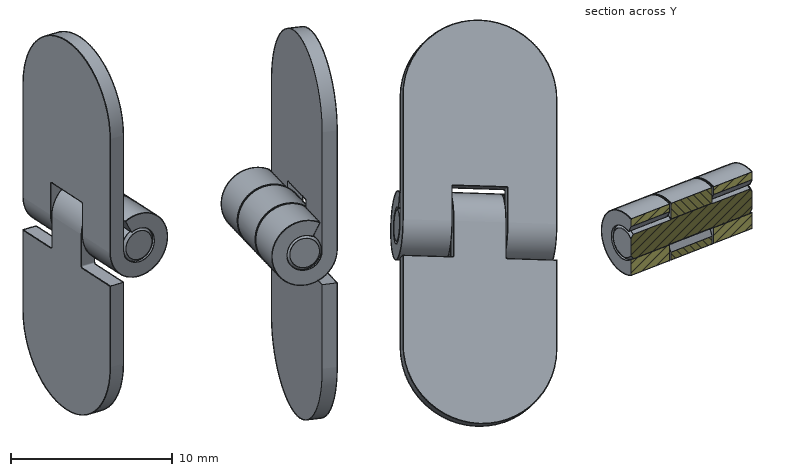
import cadquery as cq
import math

width = 9.7
height = 25.4
sheet = 1.0
knuckle_radius = 2.15
tongue_width = 3.3
gap = 0.1
roll_end_angle = 62.0
notch_corner_radius = 0.1
edge_break = 0.02
pin_chamfer = 0.18

half_height = height / 2
end_radius = width / 2
bore_radius = knuckle_radius - sheet
notch_depth = knuckle_radius + gap
slot_width = tongue_width + 2 * gap
side_width = (width - tongue_width) / 2


def roll_point(radius):
    """Point (y, z) on the end face of the roll."""
    angle = math.radians(roll_end_angle)
    return (-radius * math.cos(angle), radius * math.sin(angle))


def roll_middle(radius):
    """Point (y, z) halfway round the roll."""
    angle = math.radians(roll_end_angle / 2)
    return (radius * math.cos(angle), -radius * math.sin(angle))


def leaf_blank():
    """Full-width upward leaf with its lower edge rolled around the pin."""
    rolled_sheet = (
        cq.Workplane("YZ")
        .moveTo(-knuckle_radius, half_height)
        .lineTo(-knuckle_radius, 0)
        .threePointArc(roll_middle(knuckle_radius), roll_point(knuckle_radius))
        .lineTo(*roll_point(bore_radius))
        .threePointArc(roll_middle(bore_radius), (-bore_radius, 0))
        .lineTo(-bore_radius, half_height)
        .close()
        .extrude(width / 2, both=True)
    )
    shoulder = half_height - end_radius
    outline = (
        cq.Workplane("XZ")
        .moveTo(-width / 2, -knuckle_radius)
        .lineTo(width / 2, -knuckle_radius)
        .lineTo(width / 2, shoulder)
        .threePointArc((0, half_height), (-width / 2, shoulder))
        .close()
        .extrude(knuckle_radius, both=True)
    )
    return rolled_sheet.intersect(outline)


def knuckle_cut(cut_width, x_center):
    """Block, with rounded corners, that clears a knuckle and the leaf edge above it."""
    return (
        cq.Workplane("XY")
        .box(cut_width, 2 * notch_depth, 2 * notch_depth)
        .edges("|Y")
        .fillet(notch_corner_radius)
        .translate((x_center, 0, 0))
    )


def break_rim(leaf):
    """Chamfer the flat face's outline, which carries on round the knuckle rims.

    The lowest edges of that face are where it runs smoothly into the roll,
    so they stay as they are.
    """
    return leaf.faces("<Y").edges("not <Z").chamfer(edge_break)


def make_upper_leaf():
    """Leaf with two outer knuckles and a slot for the middle one."""
    return break_rim(leaf_blank().cut(knuckle_cut(slot_width, 0)))


def make_lower_leaf():
    """Leaf with a single middle knuckle, pointing down."""
    leaf = leaf_blank()
    cut_width = 2 * side_width
    for side in (-1, 1):
        leaf = leaf.cut(knuckle_cut(cut_width, side * width / 2))
    return break_rim(leaf).mirror("XY")


def make_pin():
    """Hinge pin filling the bore of all three knuckles, chamfered at both ends."""
    return (
        cq.Workplane("YZ")
        .circle(bore_radius)
        .extrude(width / 2, both=True)
        .faces("<X or >X")
        .chamfer(pin_chamfer)
    )


upper_leaf = make_upper_leaf()
lower_leaf = make_lower_leaf()
pin = make_pin()

result = cq.Compound.makeCompound([upper_leaf.val(), lower_leaf.val(), pin.val()])